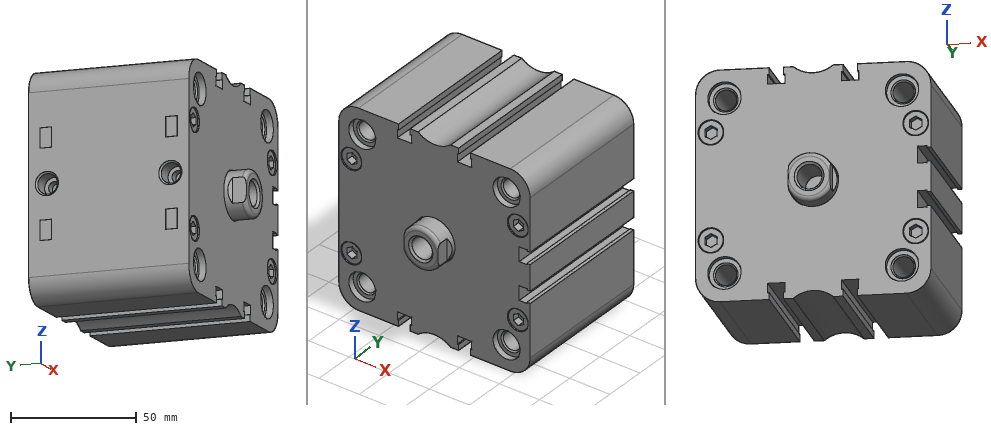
import cadquery as cq

side = 95.5
half_side = side / 2
total_length = 78.0
body_length = 68.95
corner_radius = 9.9

back_y = total_length / 2
face_y = back_y - body_length
tip_y = -total_length / 2

slot_inner_width = 7.0
slot_mouth_width = 5.8
slot_undercut_height = 3.8
top_slot_depth = 6.7
top_slot_offset = 15.0
side_slot_depth = 5.4
side_slot_offset = 9.2

groove_chord = 16.2
groove_depth = 2.9

mount_offset = 36.0
mount_diameter = 8.6
mount_mouth_diameter = 9.9
mount_bore_diameter = 13.5
mount_bore_depth = 3.0

screw_x = 41.5
screw_z = 22.25
screw_pocket_diameter = 10.3
screw_head_diameter = 9.8
screw_recess = 0.5
socket_across_flats = 5.0
socket_depth = 3.5

port_diameter = 8.4
port_mouth_diameter = 9.9
port_edge_distance = 7.9
port_depth = 8.0
port_passage_diameter = 5.0
port_passage_depth = 12.0

label_width = 5.0
label_height = 8.3
label_depth = 0.2
label_edge_distance = 7.45
label_z = 18.9

rod_diameter = 20.0
rod_clearance_diameter = 20.5
rod_clearance_depth = 1.9
rod_tip_radius = 1.8
rod_across_flats = 17.0
rod_flat_length = 6.0
rod_hole_diameter = 10.1
rod_hole_mouth_diameter = 12.0
rod_hole_depth = 20.0


def plane_at(y):
    """XZ plane at the given Y whose normal points along +Y (local x is -X)."""
    return cq.Workplane(cq.Plane(origin=(0, y, 0), xDir=(-1, 0, 0), normal=(0, 1, 0)))


def cylinder(start, direction, diameter, length):
    return cq.Workplane(
        cq.Solid.makeCylinder(diameter / 2, length, cq.Vector(*start), cq.Vector(*direction))
    )


def hole_with_mouth(start, direction, diameter, mouth_diameter, depth):
    """Hole tool with a 45 degree countersink at its mouth."""
    mouth_depth = (mouth_diameter - diameter) / 2
    mouth = cq.Solid.makeCone(
        mouth_diameter / 2, diameter / 2, mouth_depth, cq.Vector(*start), cq.Vector(*direction)
    )
    return cylinder(start, direction, diameter, depth).union(cq.Workplane(mouth))


def make_block():
    block = plane_at(face_y).rect(side, side).extrude(body_length)
    return block.edges("|Y").fillet(corner_radius)


def t_slot(offset, depth):
    """T-slot opening through the top face at the given X offset."""
    floor_z = half_side - depth
    undercut = (
        plane_at(face_y)
        .center(-offset, floor_z + slot_undercut_height / 2)
        .rect(slot_inner_width, slot_undercut_height)
        .extrude(body_length)
    )
    mouth = (
        plane_at(face_y)
        .center(-offset, floor_z + depth / 2)
        .rect(slot_mouth_width, depth)
        .extrude(body_length)
    )
    return undercut.union(mouth)


def top_groove():
    radius = ((groove_chord / 2) ** 2 + groove_depth**2) / (2 * groove_depth)
    axis_z = half_side - groove_depth + radius
    return cylinder((0, face_y, axis_z), (0, 1, 0), 2 * radius, body_length)


def profile_cuts():
    top_cuts = top_groove()
    for sign in (-1, 1):
        top_cuts = top_cuts.union(t_slot(sign * top_slot_offset, top_slot_depth))
    cuts = top_cuts.union(top_cuts.mirror("XY"))
    for sign in (-1, 1):
        slot = t_slot(sign * side_slot_offset, side_slot_depth)
        cuts = cuts.union(slot.rotate((0, 0, 0), (0, 1, 0), 90))
    return cuts


def mounting_hole(x, z):
    bore = cylinder((x, face_y, z), (0, 1, 0), mount_bore_diameter, mount_bore_depth)
    hole = hole_with_mouth(
        (x, face_y + mount_bore_depth, z),
        (0, 1, 0),
        mount_diameter,
        mount_mouth_diameter,
        body_length - mount_bore_depth,
    )
    return bore.union(hole)


def cover_screw(x, z):
    """Pocket above a chamfered screw head, with a hexagon socket, points up and down."""
    chamfer = (screw_pocket_diameter - screw_head_diameter) / 2
    head_edge = cq.Solid.makeCone(
        screw_head_diameter / 2,
        screw_pocket_diameter / 2,
        chamfer,
        cq.Vector(x, face_y + screw_recess, z),
        cq.Vector(0, 1, 0),
    )
    pocket = cylinder((x, face_y, z), (0, 1, 0), screw_pocket_diameter, screw_recess + chamfer)
    socket = (
        plane_at(face_y)
        .center(-x, z)
        .polygon(6, socket_across_flats, circumscribed=True)
        .extrude(screw_recess + socket_depth)
    )
    return pocket.cut(cq.Workplane(head_edge)).union(socket)


def air_port(y):
    start = (-half_side, y, 0)
    port = hole_with_mouth(start, (1, 0, 0), port_diameter, port_mouth_diameter, port_depth)
    return port.union(cylinder(start, (1, 0, 0), port_passage_diameter, port_passage_depth))


def label_recess(y, z):
    recess = cq.Workplane("XY").box(2 * label_depth, label_width, label_height)
    return recess.translate((-half_side, y, z))


def rod_clearance():
    start = (0, face_y, 0)
    outer = cylinder(start, (0, 1, 0), rod_clearance_diameter, rod_clearance_depth)
    return outer.cut(cylinder(start, (0, 1, 0), rod_diameter, rod_clearance_depth))


def make_rod():
    """Rod from the bottom of its clearance ring to the tip, with two flats across X."""
    length = face_y + rod_clearance_depth - tip_y
    rod = cylinder((0, tip_y, 0), (0, 1, 0), rod_diameter, length)
    rod = rod.faces("<Y").edges().fillet(rod_tip_radius)
    flat_height = (rod_diameter - rod_across_flats) / 2
    shoulder_y = tip_y + rod_flat_length
    half_flats = rod_across_flats / 2
    for sign in (-1, 1):
        flat = (
            cq.Workplane("XY")
            .polyline(
                [
                    (sign * half_flats, tip_y),
                    (sign * half_flats, shoulder_y),
                    (sign * (half_flats + flat_height), shoulder_y + flat_height),
                    (sign * (half_flats + flat_height), tip_y),
                ]
            )
            .close()
            .extrude(rod_diameter / 2, both=True)
        )
        rod = rod.cut(flat)
    return rod


result = make_block().cut(profile_cuts())

for sign_x in (-1, 1):
    for sign_z in (-1, 1):
        result = result.cut(mounting_hole(sign_x * mount_offset, sign_z * mount_offset))
        result = result.cut(cover_screw(sign_x * screw_x, sign_z * screw_z))

for port_y in (face_y + port_edge_distance, back_y - port_edge_distance):
    result = result.cut(air_port(port_y))

for label_y in (face_y + label_edge_distance, back_y - label_edge_distance):
    for sign in (-1, 1):
        result = result.cut(label_recess(label_y, sign * label_z))

result = result.cut(rod_clearance())
result = result.union(make_rod())
result = result.cut(
    hole_with_mouth(
        (0, tip_y, 0), (0, 1, 0), rod_hole_diameter, rod_hole_mouth_diameter, rod_hole_depth
    )
)